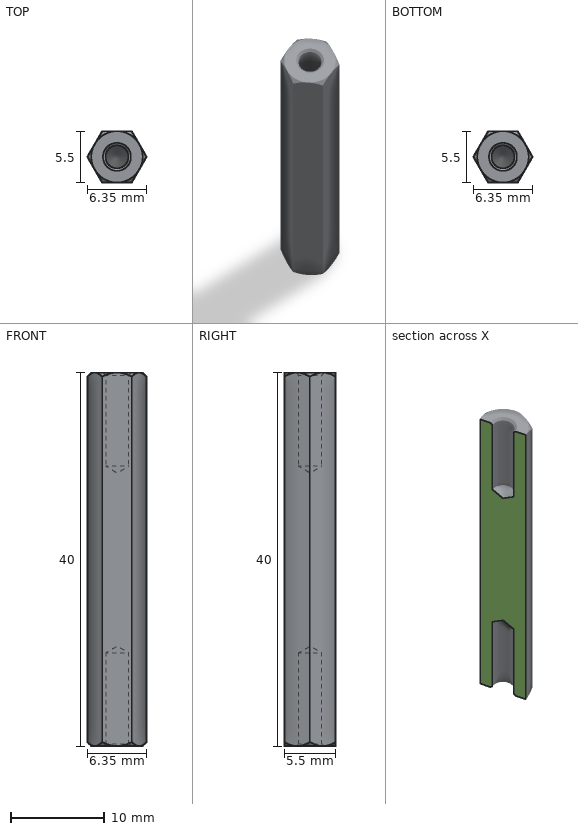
import cadquery as cq
import math

ACROSS_FLATS = 5.5
LENGTH = 40.0

END_FACE_DIAMETER = ACROSS_FLATS
CHAMFER_ANGLE = 45.0

CORE_DIAMETER = 2.46
MOUTH_DIAMETER = 3.0
COUNTERSINK_ANGLE = 90.0
HOLE_DEPTH = 10.0
DRILL_POINT_ANGLE = 118.0

CORNER_RADIUS = ACROSS_FLATS / math.sqrt(3)
END_FACE_RADIUS = END_FACE_DIAMETER / 2
CHAMFER_HEIGHT = (CORNER_RADIUS - END_FACE_RADIUS) * math.tan(math.radians(CHAMFER_ANGLE))
CORE_RADIUS = CORE_DIAMETER / 2
MOUTH_RADIUS = MOUTH_DIAMETER / 2
COUNTERSINK_DEPTH = (MOUTH_RADIUS - CORE_RADIUS) / math.tan(math.radians(COUNTERSINK_ANGLE / 2))
DRILL_POINT_HEIGHT = CORE_RADIUS / math.tan(math.radians(DRILL_POINT_ANGLE / 2))


def revolve_about_z(profile_points):
    """Turn a closed (radius, height) profile about the Z axis."""
    profile = cq.Workplane("XZ").polyline(profile_points).close()
    return profile.revolve(360, (0, 0, 0), (0, 1, 0))


def hexagonal_bar():
    """Hexagonal bar standing on Z = 0 with two corners on the X axis."""
    return cq.Workplane("XY").polygon(6, 2 * CORNER_RADIUS).extrude(LENGTH)


def chamfer_envelope():
    """Turned cylinder with coned ends that trims the corners of the bar."""
    return revolve_about_z([
        (0, 0),
        (END_FACE_RADIUS, 0),
        (CORNER_RADIUS, CHAMFER_HEIGHT),
        (CORNER_RADIUS, LENGTH - CHAMFER_HEIGHT),
        (END_FACE_RADIUS, LENGTH),
        (0, LENGTH),
    ])


def top_hole():
    """Countersunk blind hole with a drill point, entering from the top end."""
    return revolve_about_z([
        (0, LENGTH),
        (MOUTH_RADIUS, LENGTH),
        (CORE_RADIUS, LENGTH - COUNTERSINK_DEPTH),
        (CORE_RADIUS, LENGTH - HOLE_DEPTH),
        (0, LENGTH - HOLE_DEPTH - DRILL_POINT_HEIGHT),
    ])


upper_hole = top_hole()
lower_hole = upper_hole.mirror("XY", (0, 0, LENGTH / 2))

result = hexagonal_bar().intersect(chamfer_envelope()).cut(upper_hole).cut(lower_hole)